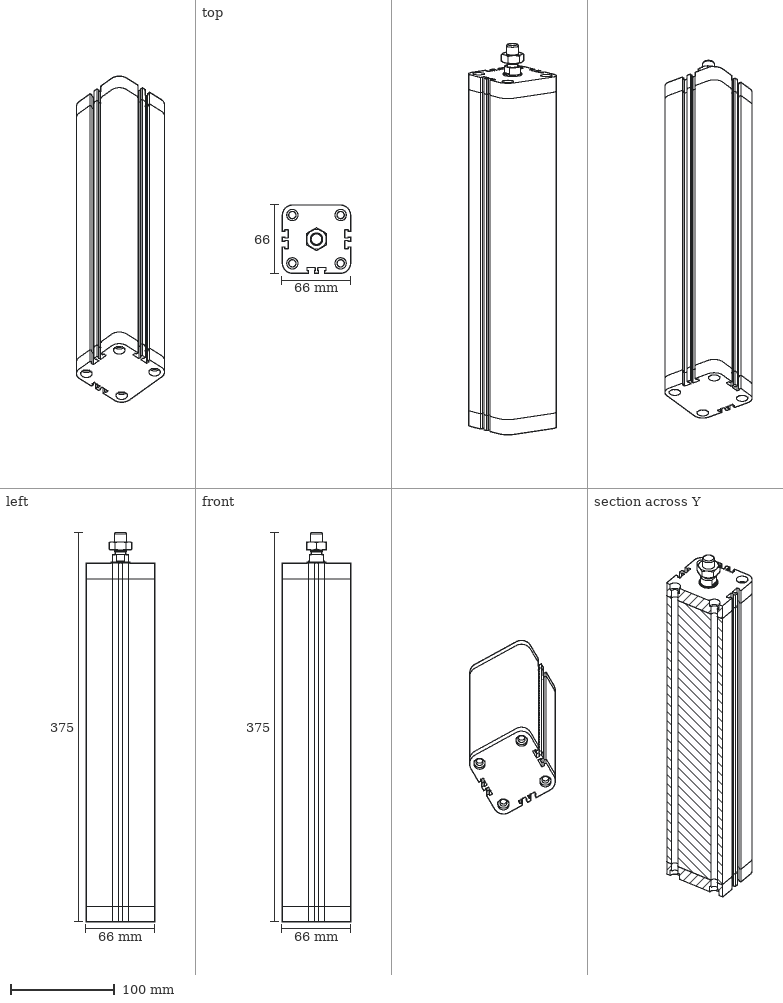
import cadquery as cq
import math

width = 66.0
corner_radius = 10.0
body_height = 345.5
cap_height = 15.0
barrel_height = body_height - 2 * cap_height

groove_depth = 5.5
lip_thickness = 2.5
mouth_width = 15.0
chamber_width = 18.0
rib_head_width = 4.0
rib_neck_width = 2.5
grooved_side_angles = (0, -90, 180)

screw_spacing = 46.5
screw_hole_diameter = 6.8
counterbore_diameter = 11.0
counterbore_depth = 6.5

lip_diameter = 18.0
lip_height = 1.0

total_height = 375.0
rod_diameter = 15.8
shoulder_height = 353.5
flat_spacing = 13.5
flat_base_height = 2.2
flat_bottom = body_height + flat_base_height
undercut_diameter = 10.0
thread_diameter = 12.0
thread_bottom = 356.2
thread_run_in = (thread_diameter - undercut_diameter) / 2
tip_bevel_height = 1.5
tip_diameter = 10.0

nut_across_flats = 19.0
nut_bottom = 358.0
nut_height = 8.0
nut_across_corners = nut_across_flats / math.cos(math.pi / 6)
nut_chamfer_angle = 30


def groove_slab(x_inner, x_outer, groove_width, rib_width, height):
    """The part of a +X groove pair between two depths, on both sides of its rib."""
    base = cq.Workplane("XY").moveTo((x_inner + x_outer) / 2, 0)
    depth = x_outer - x_inner
    return base.rect(depth, groove_width).extrude(height).cut(base.rect(depth, rib_width).extrude(height))


def grooves(height):
    """The groove pairs of all grooved sides, from z = 0 up to height."""
    face = width / 2
    chamber_floor = face - groove_depth
    chamber_top = face - lip_thickness
    chamber = groove_slab(chamber_floor, chamber_top, chamber_width, rib_neck_width, height)
    mouth = groove_slab(chamber_top, face, mouth_width, rib_head_width, height)
    pair = chamber.union(mouth)
    cutter = cq.Workplane("XY")
    for angle in grooved_side_angles:
        cutter = cutter.add(pair.rotate((0, 0, 0), (0, 0, 1), angle))
    return cutter.combine()


def screw_positions(plane):
    return plane.rect(screw_spacing, screw_spacing, forConstruction=True).vertices()


def profile_block(height):
    """A grooved, rounded square block with a screw hole through each corner."""
    block = cq.Workplane("XY").rect(width, width).extrude(height)
    block = block.edges("|Z").fillet(corner_radius).cut(grooves(height))
    screw_holes = screw_positions(cq.Workplane("XY")).circle(screw_hole_diameter / 2).extrude(height)
    return block.cut(screw_holes)


def end_cap():
    """An end cap with its counterbored outer face upward."""
    cap = profile_block(cap_height)
    bores = screw_positions(cq.Workplane("XY", origin=(0, 0, cap_height)))
    return cap.cut(bores.circle(counterbore_diameter / 2).extrude(-counterbore_depth))


def make_rear_cap():
    return end_cap().mirror("XY").translate((0, 0, cap_height))


def make_front_cap():
    """The end cap around the rod, with a raised lip."""
    lip = cq.Workplane("XY", origin=(0, 0, cap_height)).circle(lip_diameter / 2).extrude(lip_height)
    cap = end_cap().union(lip)
    rod_hole = cq.Workplane("XY").circle(rod_diameter / 2).extrude(cap_height + lip_height)
    return cap.cut(rod_hole).translate((0, 0, body_height - cap_height))


def make_barrel():
    return profile_block(barrel_height).translate((0, 0, cap_height))


def make_rod():
    """The rod from the barrel end up to the threaded tip, with two wrench flats."""
    rod_bottom = body_height - cap_height
    shank = cq.Workplane("XY", origin=(0, 0, rod_bottom)).circle(rod_diameter / 2)
    shank = shank.extrude(shoulder_height - rod_bottom)
    flat_cutter = cq.Workplane("XY", origin=(0, 0, flat_bottom)).rect(2 * rod_diameter, 2 * rod_diameter)
    flat_cutter = flat_cutter.rect(flat_spacing, rod_diameter).extrude(shoulder_height - flat_bottom)
    shank = shank.cut(flat_cutter)
    neck = cq.Workplane("XY", origin=(0, 0, shoulder_height)).circle(undercut_diameter / 2)
    neck = neck.extrude(thread_bottom - shoulder_height)
    thread = cq.Workplane("XY", origin=(0, 0, thread_bottom)).circle(thread_diameter / 2)
    thread = thread.extrude(total_height - thread_bottom)
    thread = thread.faces("<Z").chamfer(thread_run_in)
    thread = thread.faces(">Z").edges().chamfer(tip_bevel_height, (thread_diameter - tip_diameter) / 2)
    return shank.union(neck).union(thread)


def make_nut():
    """A hexagon nut with corners toward +Y and -Y, bevelled at both ends."""
    nut = cq.Workplane("XY").polygon(6, nut_across_corners).extrude(nut_height)
    nut = nut.rotate((0, 0, 0), (0, 0, 1), 90)
    end_radius = nut_across_flats / 2
    outer_radius = nut_across_corners / 2
    bevel = (outer_radius - end_radius) * math.tan(math.radians(nut_chamfer_angle))
    envelope = (
        cq.Workplane("XZ")
        .moveTo(0, 0)
        .lineTo(end_radius, 0)
        .lineTo(outer_radius, bevel)
        .lineTo(outer_radius, nut_height - bevel)
        .lineTo(end_radius, nut_height)
        .lineTo(0, nut_height)
        .close()
        .revolve(360, (0, 0), (0, 1))
    )
    bore = cq.Workplane("XY").circle(thread_diameter / 2).extrude(nut_height)
    return nut.intersect(envelope).cut(bore).translate((0, 0, nut_bottom))


rear_cap = make_rear_cap()
barrel = make_barrel()
front_cap = make_front_cap()
rod = make_rod()
nut = make_nut()

result = cq.Compound.makeCompound([rear_cap.val(), barrel.val(), front_cap.val(), rod.val(), nut.val()])